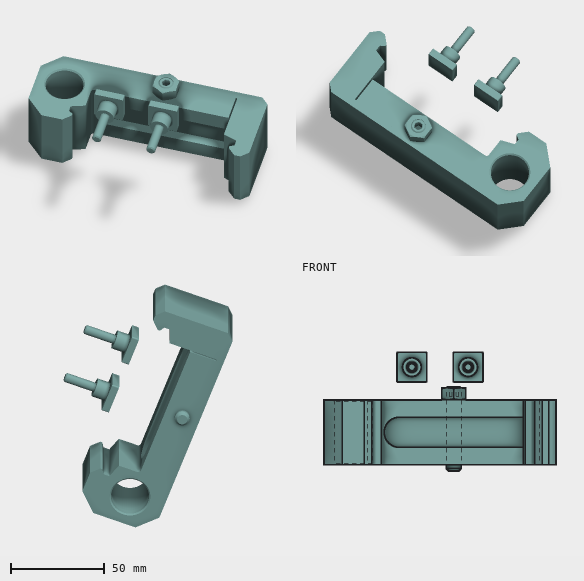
import cadquery as cq
import math

BODY_LENGTH = 124.0
BODY_DEPTH = 43.9
BODY_HEIGHT = 34.7
BAR_DEPTH = 19.0
LEFT_CHAMFER = 9.9
RIGHT_CHAMFER = 4.0
CORNER_RADIUS = 1.5

LEFT_JAW_X = 30.8
RIGHT_JAW_X = 107.4
JAW_FACE_END = 31.0
UNDERCUT = 7.6
UNDERCUT_START = 33.6
UNDERCUT_END = 37.0
LIP_REACH = 2.5
LIP_START = 38.5
LIP_END = 39.7

SLIT_WIDTH = 0.9
SLIT_START = 4.0

BORE_X = 15.7
BORE_DIAMETER = 20.3
BORE_CHAMFER = 0.7

SLOT_WIDTH = 16.1
SLOT_DEPTH = 5.0

SCREW_X = 69.3
SCREW_Y = -9.4
SCREW_DIAMETER = 8.0
SCREW_TOP_DIAMETER = 6.7
SCREW_POINT_DIAMETER = 5.5
SCREW_POINT_LENGTH = 1.5
SCREW_BELOW = 3.3
SCREW_ABOVE_NUT = 0.4
SOCKET_FLATS = 4.0
SOCKET_DEPTH = 5.0
SOCKET_MOUTH_DIAMETER = 4.7
NUT_FLATS = 12.9
NUT_HEIGHT = 6.5

TEE_FIRST_X = 47.0
TEE_SPACING = 30.0
TEE_COUNT = 2
PLATE_SIZE = 16.0
PLATE_THICKNESS = 4.0
PLATE_CORNER = 0.7
PLATE_TOP_Z = 60.1
STUD_DIAMETER = 5.0
STUD_LENGTH = 24.0
STUD_CHAMFER = 0.6
SLEEVE_DIAMETER = 10.0
SLEEVE_END_DIAMETER = 9.9
SLEEVE_END_TAPER = 0.4
SLEEVE_BORE = 5.5
SLEEVE_LENGTH = 7.1

NUT_CORNERS = NUT_FLATS / math.cos(math.pi / 6)
SOCKET_CORNERS = SOCKET_FLATS / math.cos(math.pi / 6)
TEE_Z = PLATE_TOP_Z - PLATE_SIZE / 2
PLATE_FRONT_Y = -BODY_DEPTH


def jaw_points(face_x, into_jaw):
    """Hook profile from the jaw face to the lip tip; into_jaw is +1 or -1 along X."""
    undercut_x = face_x + into_jaw * UNDERCUT
    lip_x = undercut_x - into_jaw * LIP_REACH
    return [
        (face_x, -JAW_FACE_END),
        (undercut_x, -UNDERCUT_START),
        (undercut_x, -UNDERCUT_END),
        (lip_x, -LIP_START),
        (lip_x, -LIP_END),
        (lip_x + into_jaw * (BODY_DEPTH - LIP_END), -BODY_DEPTH),
    ]


def make_body():
    bar_end_x = RIGHT_JAW_X - SLIT_WIDTH
    slit_round = SLIT_WIDTH / 2
    right_side = [
        (BODY_LENGTH - RIGHT_CHAMFER, 0),
        (BODY_LENGTH, -RIGHT_CHAMFER),
        (BODY_LENGTH, RIGHT_CHAMFER - BODY_DEPTH),
        (BODY_LENGTH - RIGHT_CHAMFER, -BODY_DEPTH),
        *reversed(jaw_points(RIGHT_JAW_X, 1)),
        (RIGHT_JAW_X, -SLIT_START - slit_round),
    ]
    left_side = [
        (bar_end_x, -BAR_DEPTH),
        (LEFT_JAW_X, -BAR_DEPTH),
        *jaw_points(LEFT_JAW_X, -1),
        (LEFT_CHAMFER, -BODY_DEPTH),
        (0, LEFT_CHAMFER - BODY_DEPTH),
        (0, -LEFT_CHAMFER),
    ]
    body = (
        cq.Workplane("XY")
        .moveTo(LEFT_CHAMFER, 0)
        .polyline(right_side, includeCurrent=True)
        .threePointArc((bar_end_x + slit_round, -SLIT_START), (bar_end_x, -SLIT_START - slit_round))
        .polyline(left_side, includeCurrent=True)
        .close()
        .extrude(BODY_HEIGHT)
    )
    inner_corner = cq.selectors.NearestToPointSelector((LEFT_JAW_X, -BAR_DEPTH, BODY_HEIGHT / 2))
    body = body.edges("|Z").edges(inner_corner).fillet(CORNER_RADIUS)
    return body.cut(make_bore()).cut(make_slot()).cut(make_screw_hole())


def make_bore():
    radius = BORE_DIAMETER / 2
    wide = radius + BORE_CHAMFER
    profile = [
        (0, 0),
        (wide, 0),
        (radius, BORE_CHAMFER),
        (radius, BODY_HEIGHT - BORE_CHAMFER),
        (wide, BODY_HEIGHT),
        (0, BODY_HEIGHT),
    ]
    bore = cq.Workplane("XZ").polyline(profile).close().revolve(360, (0, 0), (0, 1))
    return bore.translate((BORE_X, -BAR_DEPTH, 0))


def make_slot():
    """Round-ended slot, open into the slit at its right end."""
    radius = SLOT_WIDTH / 2
    middle = BODY_HEIGHT / 2
    round_x = LEFT_JAW_X + CORNER_RADIUS + radius
    slot = (
        cq.Workplane("XZ", origin=(0, SLOT_DEPTH - BAR_DEPTH, 0))
        .moveTo(RIGHT_JAW_X, middle - radius)
        .lineTo(round_x, middle - radius)
        .threePointArc((round_x - radius, middle), (round_x, middle + radius))
        .lineTo(RIGHT_JAW_X, middle + radius)
        .close()
        .extrude(SLOT_DEPTH)
    )
    return slot


def make_screw_hole():
    return cq.Workplane("XY").center(SCREW_X, SCREW_Y).circle(SCREW_DIAMETER / 2).extrude(BODY_HEIGHT)


def make_nut():
    nut = cq.Workplane("XY").polygon(6, NUT_CORNERS).extrude(NUT_HEIGHT).rotate((0, 0, 0), (0, 0, 1), 30)
    corner_excess = (NUT_CORNERS - NUT_FLATS) / 2
    rounded = cq.Workplane("XY").circle(NUT_CORNERS / 2).extrude(NUT_HEIGHT)
    rounded = rounded.faces("<Z or >Z").chamfer(corner_excess * math.tan(math.pi / 6), corner_excess)
    hole = cq.Workplane("XY").circle(SCREW_DIAMETER / 2).extrude(NUT_HEIGHT)
    return nut.intersect(rounded).cut(hole).translate((SCREW_X, SCREW_Y, BODY_HEIGHT))


def make_set_screw():
    top = BODY_HEIGHT + NUT_HEIGHT + SCREW_ABOVE_NUT
    chamfer = (SCREW_DIAMETER - SCREW_TOP_DIAMETER) / 2
    profile = [
        (0, -SCREW_BELOW),
        (SCREW_POINT_DIAMETER / 2, -SCREW_BELOW),
        (SCREW_DIAMETER / 2, SCREW_POINT_LENGTH - SCREW_BELOW),
        (SCREW_DIAMETER / 2, top - chamfer),
        (SCREW_TOP_DIAMETER / 2, top),
        (0, top),
    ]
    screw = cq.Workplane("XZ").polyline(profile).close().revolve(360, (0, 0), (0, 1))
    socket = cq.Workplane("XY", origin=(0, 0, top)).polygon(6, SOCKET_CORNERS).extrude(-SOCKET_DEPTH)
    mouth = SOCKET_MOUTH_DIAMETER / 2
    countersink = cq.Solid.makeCone(mouth, 0, mouth, pnt=cq.Vector(0, 0, top), dir=cq.Vector(0, 0, -1))
    return screw.cut(socket).cut(countersink).translate((SCREW_X, SCREW_Y, 0))


def make_tee_bolt(x):
    plate = cq.Workplane("XZ").rect(PLATE_SIZE, PLATE_SIZE).extrude(-PLATE_THICKNESS)
    plate = plate.edges("|Y").fillet(PLATE_CORNER)
    stud = cq.Workplane("XZ").circle(STUD_DIAMETER / 2).extrude(STUD_LENGTH)
    stud = stud.faces("<Y").chamfer(STUD_CHAMFER)
    return plate.union(stud).translate((x, PLATE_FRONT_Y, TEE_Z))


def make_sleeve(x):
    """Clearance sleeve that sits against the plate, slightly tapered at its free end."""
    profile = [
        (SLEEVE_BORE / 2, 0),
        (SLEEVE_DIAMETER / 2, 0),
        (SLEEVE_DIAMETER / 2, SLEEVE_END_TAPER - SLEEVE_LENGTH),
        (SLEEVE_END_DIAMETER / 2, -SLEEVE_LENGTH),
        (SLEEVE_BORE / 2, -SLEEVE_LENGTH),
    ]
    sleeve = cq.Workplane("XY").polyline(profile).close().revolve(360, (0, 0), (0, 1))
    return sleeve.translate((x, PLATE_FRONT_Y, TEE_Z))


tee_places = [TEE_FIRST_X + i * TEE_SPACING for i in range(TEE_COUNT)]
body = make_body()
nut = make_nut()
set_screw = make_set_screw()
tee_bolts = [make_tee_bolt(x) for x in tee_places]
sleeves = [make_sleeve(x) for x in tee_places]

result = cq.Compound.makeCompound(
    [body.val(), nut.val(), set_screw.val()]
    + [tee_bolt.val() for tee_bolt in tee_bolts]
    + [sleeve.val() for sleeve in sleeves]
)